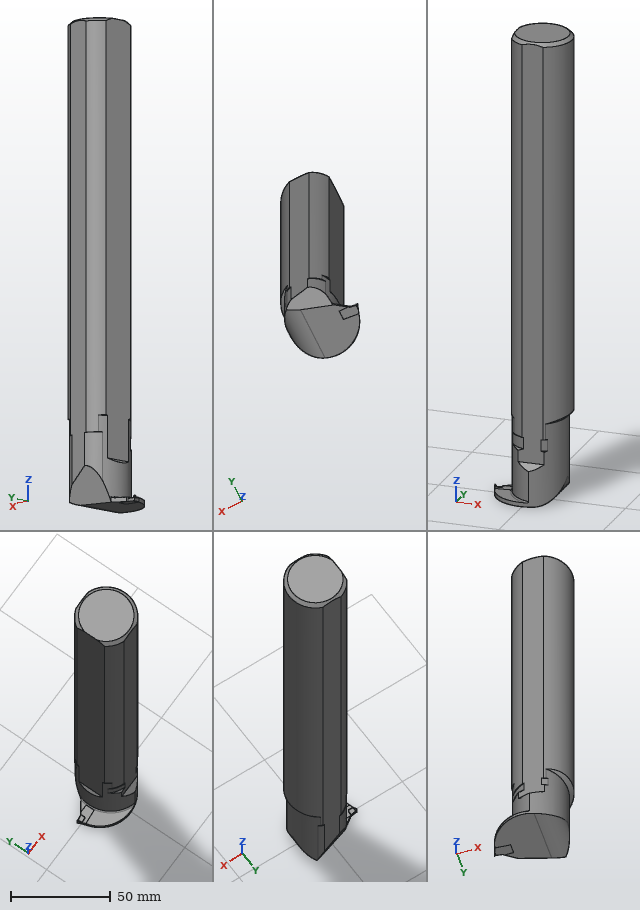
import cadquery as cq
import math


total_height = 250.02
shank_radius = 16.0
side_flat_y = 15.0
back_flat_x = -13.5
flat_end_z = 23.2
end_chamfer_radial = 2.0
end_chamfer_height = 1.8

lens_radius = 19.0
outer_lens_x = -5.5
inner_lens_x = 4.0
shoulder_z = 45.0

neck_radius = 15.7
neck_top_z = 36.5
keel_top_z = 30.4
big_radius = 25.0

tip_height = 3.5
blade_thickness = 2.3
blade_bottom_z = (tip_height - blade_thickness) / 2
blade_top_z = blade_bottom_z + blade_thickness
blade_root_fillet = 0.7
blade_back_outer = (-20.6, 1.2)
blade_back_inner = (-13.6, 6.1)
bottom_corner_radius = 12.0

relief_point = (-13.8, 6.6, 3.5)
relief_normal = (-0.29, 0.906, -0.31)

tip_x = -25.5
insert_end_x = inner_lens_x - lens_radius - blade_root_fillet
insert_back_y = blade_back_outer[1]
insert_hook_y = 0.6
insert_front_y = -3.6
insert_nose_y = -4.4
flare_length = 0.8
flare_depth = 1.6
breaker_depth = 0.6
breaker_end_x = -21.4
breaker_front_y = -2.3
breaker_corner = 0.8

match_tolerance = 0.01


def revolved(axis_x, profile):
    """Solid of revolution about the vertical line at axis_x; profile is (radius, z)."""
    solid = cq.Workplane("XZ").polyline(profile).close().revolve(360, (0, 0, 0), (0, 1, 0))
    return solid.translate((axis_x, 0, 0))


def box(x_range, y_range, z_range):
    size = [high - low for low, high in (x_range, y_range, z_range)]
    corner = (x_range[0], y_range[0], z_range[0])
    return cq.Workplane("XY").box(*size, centered=False).translate(corner)


def lens_envelope(axis_x):
    """Lens cylinder that opens at 45 degrees above the shoulder and clears the shank."""
    opened_radius = lens_radius + big_radius
    return revolved(axis_x, [
        (0, 0),
        (lens_radius, 0),
        (lens_radius, shoulder_z),
        (opened_radius, shoulder_z + big_radius),
        (opened_radius, total_height),
        (0, total_height),
    ])


def make_shank():
    return revolved(0, [
        (0, neck_top_z),
        (shank_radius, neck_top_z),
        (shank_radius, total_height - end_chamfer_height),
        (shank_radius - end_chamfer_radial, total_height),
        (0, total_height),
    ])


def make_neck():
    return cq.Workplane("XY").workplane(offset=blade_bottom_z).circle(neck_radius).extrude(
        neck_top_z - blade_bottom_z)


def make_keel():
    """The -Y half of the head, wider than the shank, with a conical top."""
    cone = revolved(0, [
        (0, blade_bottom_z),
        (big_radius, blade_bottom_z),
        (big_radius, keel_top_z - (big_radius - neck_radius)),
        (neck_radius, keel_top_z),
        (0, keel_top_z),
    ])
    half = box((-big_radius, big_radius), (-big_radius, 0), (0, total_height))
    return cone.intersect(half)


def flat_cutter(distance):
    """Cutter for a flat facing +X at the given distance, with a 45 degree run-out."""
    return (
        cq.Workplane("XZ")
        .moveTo(distance, flat_end_z)
        .lineTo(distance + big_radius, flat_end_z - big_radius)
        .lineTo(distance + big_radius, total_height)
        .lineTo(distance, total_height)
        .close()
        .extrude(big_radius, both=True)
    )


def make_blade():
    """Crescent plate under the head; its back edge is a straight slanted line."""
    slope = (blade_back_inner[1] - blade_back_outer[1]) / (blade_back_inner[0] - blade_back_outer[0])
    far_y = blade_back_outer[1] + slope * (big_radius - blade_back_outer[0])
    disc = (
        cq.Workplane("XY", origin=(outer_lens_x, 0, blade_bottom_z))
        .circle(lens_radius)
        .extrude(blade_thickness)
    )
    kept = (
        cq.Workplane("XY")
        .moveTo(-big_radius, -big_radius)
        .lineTo(big_radius, -big_radius)
        .lineTo(big_radius, far_y)
        .lineTo(*blade_back_outer)
        .lineTo(-big_radius, insert_back_y)
        .close()
        .extrude(tip_height)
    )
    return disc.intersect(kept)


def bottom_corner_cutter():
    """Rounds the lower +X corner of the head along Y."""
    edge_x = outer_lens_x + lens_radius
    start_x = edge_x - bottom_corner_radius
    end_z = blade_bottom_z + bottom_corner_radius
    diagonal = bottom_corner_radius * math.sqrt(0.5)
    return (
        cq.Workplane("XZ")
        .moveTo(start_x, blade_bottom_z)
        .threePointArc((start_x + diagonal, end_z - diagonal), (edge_x, end_z))
        .lineTo(edge_x + big_radius, end_z)
        .lineTo(edge_x + big_radius, 0)
        .lineTo(start_x, 0)
        .close()
        .extrude(big_radius, both=True)
    )


def relief_cutter():
    """Block lying on the outer side of the sloping relief plane."""
    plane = cq.Plane(origin=relief_point, xDir=(1, 0, relief_normal[0] / -relief_normal[2]),
                     normal=relief_normal)
    return cq.Workplane(plane).rect(4 * big_radius, 4 * big_radius).extrude(big_radius)


def rim_x(y):
    """X of the blade's outer rim on the -X side at the given Y."""
    return outer_lens_x - math.sqrt(lens_radius ** 2 - y ** 2)


def insert_seat():
    """Room that the insert takes out of the blade."""
    return (
        cq.Workplane("XY")
        .moveTo(insert_end_x, insert_front_y)
        .lineTo(insert_end_x, insert_back_y)
        .lineTo(-2 * big_radius, insert_back_y)
        .lineTo(-2 * big_radius, insert_nose_y)
        .lineTo(rim_x(insert_nose_y), insert_nose_y)
        .close()
        .extrude(blade_top_z)
    )


def is_blade_root(edge):
    """True for the arc where the inner lens cylinder stands on the blade."""
    offset = edge.arcCenter() - cq.Vector(inner_lens_x, 0, blade_top_z)
    return offset.Length < match_tolerance


def make_holder():
    holder = make_shank().union(make_neck()).union(make_keel())
    holder = holder.intersect(lens_envelope(outer_lens_x)).intersect(lens_envelope(inner_lens_x))
    holder = holder.cut(box((-big_radius, big_radius), (side_flat_y, big_radius), (0, total_height)))
    holder = holder.cut(flat_cutter(side_flat_y).rotate((0, 0, 0), (0, 0, 1), -90))
    holder = holder.cut(flat_cutter(-back_flat_x).rotate((0, 0, 0), (0, 0, 1), 180))
    holder = holder.union(make_blade())
    holder = holder.edges("%CIRCLE").filter(is_blade_root).fillet(blade_root_fillet)
    holder = holder.cut(relief_cutter()).cut(bottom_corner_cutter())
    return holder.cut(insert_seat())


def make_insert():
    """Plate with a flared cutting edge and a shallow chip breaker behind it."""
    outline = (
        cq.Workplane("XY")
        .moveTo(tip_x, 0)
        .lineTo(rim_x(insert_nose_y), insert_nose_y)
        .lineTo(insert_end_x, insert_front_y)
        .lineTo(insert_end_x, insert_back_y)
        .lineTo(*blade_back_outer)
        .lineTo(breaker_end_x, insert_hook_y)
        .close()
        .extrude(tip_height)
    )
    plate = outline.intersect(
        box((tip_x, insert_end_x), (-big_radius, big_radius), (blade_bottom_z, blade_top_z)))
    breaker = box((tip_x + flare_length, breaker_end_x), (breaker_front_y, big_radius),
                  (blade_top_z - breaker_depth, tip_height))
    breaker = breaker.edges("|Z and >X and <Y").fillet(breaker_corner)
    flare = (
        cq.Workplane("XZ")
        .polyline([
            (tip_x, 0),
            (tip_x + flare_length, blade_bottom_z),
            (tip_x + flare_length, blade_top_z),
            (tip_x, tip_height),
        ])
        .close()
        .extrude(flare_depth)
        .intersect(outline)
    )
    return plate.cut(breaker).union(flare)


holder = make_holder()
insert = make_insert()
result = cq.Compound.makeCompound([holder.val(), insert.val()])